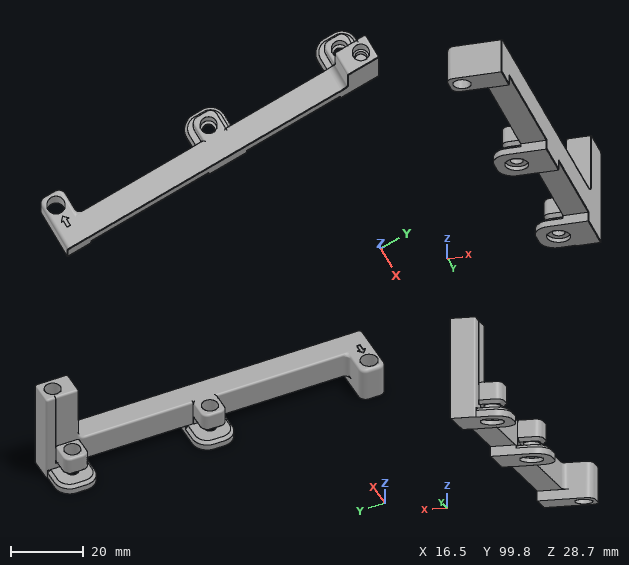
import cadquery as cq

width = 16.5
length = 99.75
height = 28.7

bar_top = 10.7
bar_bottom = 2.8
bar_left = 9.0
recess_depth = 0.15
post_depth = 10.1
post_foot_radius = 2.0
edge_round = 0.7
flank_chamfer = 0.2

screw_hole = 3.5
bore_hole = 4.7

clip_centers_y = (51.3, 93.3)
clip_hole_x = 6.1
pad_width = 12.3
pad_corner = 4.6
pad_chamfer = 0.9
boss_left = 2.4
boss_width = 7.3
boss_corner = 2.1
boss_bottom = 4.5
boss_chamfer = 1.0
relief_radius = 3.3
pad_counterbore = 6.6
pad_counterbore_depth = 1.2

foot_left = 0.3
foot_depth = 7.7
foot_corner = 2.2
foot_round = 1.1
foot_inner_radius = 1.7
foot_hole = 5.0
foot_hole_x = 4.0
foot_hole_y = 3.7

post_hole_x = 12.8
post_hole_y = 96.1
post_bore_depth = 8.0
post_pilot_depth = 12.0

arrow_tip_x = 7.6
arrow_length = 3.3
arrow_head_length = 1.3
arrow_head_half = 1.2
arrow_shaft_half = 0.5
arrow_depth = 0.3


def box(x0, x1, y0, y1, z0, z1):
    """Axis-aligned block between opposite corners."""
    block = cq.Workplane("XY").box(x1 - x0, y1 - y0, z1 - z0, centered=False)
    return block.translate((x0, y0, z0))


def cylinder(x, y, diameter, z0, z1):
    """Upright cylinder."""
    return cq.Workplane("XY", origin=(x, y, z0)).circle(diameter / 2).extrude(z1 - z0)


def rounded_tongue(left, y_center, depth, corner, z0, z1):
    """Block reaching to the right side, with its two left corners rounded."""
    block = box(left, width, y_center - depth / 2, y_center + depth / 2, z0, z1)
    return block.edges("|Z and <X").fillet(corner)


def bar_and_post(left):
    """L-shaped bar and post, rounded along the left face and around the post top."""
    post_front = length - post_depth
    bar_front = foot_depth / 2
    side = (
        cq.Workplane("YZ", origin=(left, 0, 0))
        .moveTo(bar_front, bar_bottom)
        .lineTo(bar_front, bar_top)
        .lineTo(post_front - post_foot_radius, bar_top)
        .radiusArc((post_front, bar_top + post_foot_radius), -post_foot_radius)
        .lineTo(post_front, height)
        .lineTo(length, height)
        .lineTo(length, 0)
        .lineTo(post_front, 0)
        .lineTo(post_front, bar_bottom)
        .close()
        .extrude(width - left)
    )
    margin = 1.0
    rounded_zone = cq.selectors.BoxSelector(
        (left - margin, bar_front + margin, bar_bottom + margin),
        (left + margin, length + margin, height + margin),
    )
    left_edges = side.faces("<X").edges().edges(rounded_zone)
    top_edges = side.faces(">Z").edges("|X")
    return side.newObject(left_edges.vals() + top_edges.vals()).fillet(edge_round)


def stepped_body():
    """Bar and post with the shallow recesses in the left face."""
    mid_clip, end_clip = clip_centers_y
    half_boss = boss_width / 2
    wide = bar_and_post(bar_left)
    recess_right = bar_left + 2 * edge_round
    between_clips = box(0, recess_right, mid_clip + half_boss, end_clip - half_boss, 0, height)
    above_clip = box(
        0, recess_right, end_clip - half_boss, end_clip + half_boss, boss_bottom, height
    )
    narrow = bar_and_post(bar_left + recess_depth)
    return wide.cut(between_clips).cut(above_clip).union(narrow)


def pad(y):
    """Clip pad, chamfered where exposed and square where it carries the bar."""
    block = rounded_tongue(0, y, pad_width, pad_corner, 0, bar_bottom)
    block = block.faces(">Z").edges("not >X").chamfer(pad_chamfer)
    under_bar = box(bar_left, width, y - pad_width / 2, y + pad_width / 2, 0, bar_bottom)
    return block.union(under_bar)


def boss(y):
    """Clip boss, reaching into the bar so that their tops are flush."""
    half_width = boss_width / 2
    right = bar_left + 2 * edge_round
    block = box(boss_left, right, y - half_width, y + half_width, boss_bottom, bar_top)
    block = block.edges("|Z and <X").fillet(boss_corner)
    block = block.faces(">Z").edges("not >X").fillet(edge_round)
    return block.faces("<Z").edges("not >X").chamfer(boss_chamfer)


def foot():
    """Block at the low-Y end, standing as tall as the bar."""
    block = rounded_tongue(foot_left, foot_depth / 2, foot_depth, foot_corner, 0, bar_top)
    return block.faces(">Z").edges("not >X").fillet(foot_round)


def arrow():
    """Cutter for the arrow that points at the foot hole."""
    head_end = arrow_tip_x + arrow_head_length
    upper = [
        (head_end, arrow_head_half),
        (head_end, arrow_shaft_half),
        (arrow_tip_x + arrow_length, arrow_shaft_half),
    ]
    lower = [(x, -y) for x, y in reversed(upper)]
    return (
        cq.Workplane("XY", origin=(0, foot_hole_y, bar_top - arrow_depth))
        .polyline([(arrow_tip_x, 0)] + upper + lower)
        .close()
        .extrude(arrow_depth)
    )


def corner_edges_box():
    """Selector around the upright inner corner between foot and bar."""
    margin = 0.1
    return cq.selectors.BoxSelector(
        (bar_left - margin, foot_depth - margin, bar_bottom - margin),
        (bar_left + margin, foot_depth + margin, bar_top),
    )


def add_clip(body, y):
    """Joins one clip to the body and bores it."""
    relief = cylinder(clip_hole_x, y, 2 * relief_radius, bar_bottom, boss_bottom)
    body = body.cut(relief).union(pad(y)).union(boss(y))
    body = body.cut(cylinder(clip_hole_x, y, screw_hole, 0, bar_bottom))
    body = body.cut(cylinder(clip_hole_x, y, pad_counterbore, 0, pad_counterbore_depth))
    return body.cut(cylinder(clip_hole_x, y, bore_hole, boss_bottom, bar_top))


def post_hole():
    """Cutter for the stepped hole in the post top."""
    bore = cylinder(post_hole_x, post_hole_y, bore_hole, height - post_bore_depth, height)
    pilot = cylinder(post_hole_x, post_hole_y, screw_hole, height - post_pilot_depth, height)
    return bore.union(pilot)


result = stepped_body().union(foot())
result = result.edges(corner_edges_box()).edges("|Z").fillet(foot_inner_radius)
for clip_y in clip_centers_y:
    result = add_clip(result, clip_y)
result = result.cut(cylinder(foot_hole_x, foot_hole_y, foot_hole, 0, bar_top))
result = result.cut(post_hole())
result = result.cut(arrow())
result = result.faces(">X").edges().chamfer(flank_chamfer)